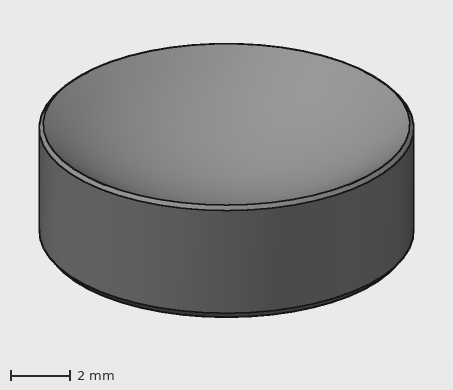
import cadquery as cq

lens_radius = 6.35
total_height = 5.22
top_bevel = 0.14
bottom_bevel_width = 0.2
bottom_bevel_height = 0.25
convex_sag = 0.95
concave_depth = 2.21

concave_rim_radius = lens_radius - top_bevel
convex_rim_radius = lens_radius - bottom_bevel_width
dish_floor = total_height - concave_depth


def sag_at(rim_radius, rim_sag, radius):
    """Sag at a given radius of a sphere that has rim_sag at rim_radius."""
    sphere_radius = (rim_radius**2 + rim_sag**2) / (2 * rim_sag)
    return sphere_radius - (sphere_radius**2 - radius**2) ** 0.5


convex_mid_radius = convex_rim_radius / 2
convex_mid = (convex_mid_radius, sag_at(convex_rim_radius, convex_sag, convex_mid_radius))

concave_mid_radius = concave_rim_radius / 2
concave_mid_sag = sag_at(concave_rim_radius, concave_depth, concave_mid_radius)
concave_mid = (concave_mid_radius, dish_floor + concave_mid_sag)

half_section = (
    cq.Workplane("XZ")
    .moveTo(0, 0)
    .threePointArc(convex_mid, (convex_rim_radius, convex_sag))
    .lineTo(lens_radius, convex_sag + bottom_bevel_height)
    .lineTo(lens_radius, total_height - top_bevel)
    .lineTo(concave_rim_radius, total_height)
    .threePointArc(concave_mid, (0, dish_floor))
    .close()
)

result = half_section.revolve(360, (0, 0, 0), (0, 1, 0))